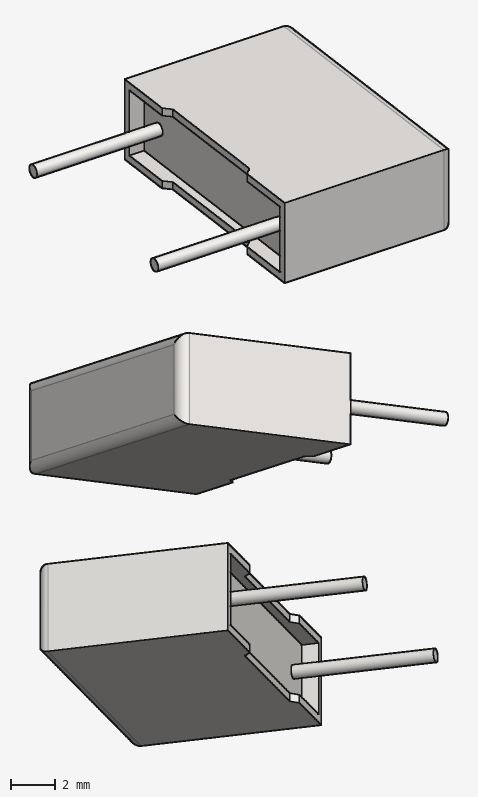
import cadquery as cq

total_length = 15.1
case_width = 13.2
case_height = 4.21
lead_reach = 6.0
case_length = total_length - lead_reach

wall = 0.4
back_edge_radius = 0.5
notch_mouth_width = 7.0
notch_depth = 0.35
notch_floor_width = notch_mouth_width - 2 * notch_depth

filling_recess = 0.8
lead_diameter = 0.65
lead_pitch = 10.0

cavity_width = case_width - 2 * wall
cavity_height = case_height - 2 * wall
cavity_depth = case_length - wall


def block(width, height, front_y, back_y):
    """Box centred on X and Z, reaching from front_y to back_y."""
    return cq.Workplane("XY").box(width, back_y - front_y, height).translate((0, (front_y + back_y) / 2, 0))


def make_rim_notch():
    """Trapezoid that cuts through the upper and lower walls at the rim."""
    return (
        cq.Workplane("XY")
        .polyline([
            (-notch_mouth_width / 2, 0),
            (notch_mouth_width / 2, 0),
            (notch_floor_width / 2, notch_depth),
            (-notch_floor_width / 2, notch_depth),
        ])
        .close()
        .extrude(case_height / 2, both=True)
    )


def make_case():
    """Box open at the rim, with a rounded back and a notch in both wide walls."""
    shell = block(case_width, case_height, 0, case_length).faces(">Y").edges().fillet(back_edge_radius)
    cavity = block(cavity_width, cavity_height, 0, cavity_depth)
    return shell.cut(cavity).cut(make_rim_notch())


def make_filling():
    """Block that fills the cavity up to the recessed face."""
    return block(cavity_width, cavity_height, filling_recess, cavity_depth)


def make_lead(x):
    """Round wire standing on the face of the filling."""
    return (
        cq.Workplane("XZ", origin=(x, filling_recess, 0))
        .circle(lead_diameter / 2)
        .extrude(filling_recess + lead_reach)
    )


case = make_case()
filling = make_filling()
leads = [make_lead(side * lead_pitch / 2) for side in (-1, 1)]

result = cq.Compound.makeCompound([case.val(), filling.val(), *[lead.val() for lead in leads]])